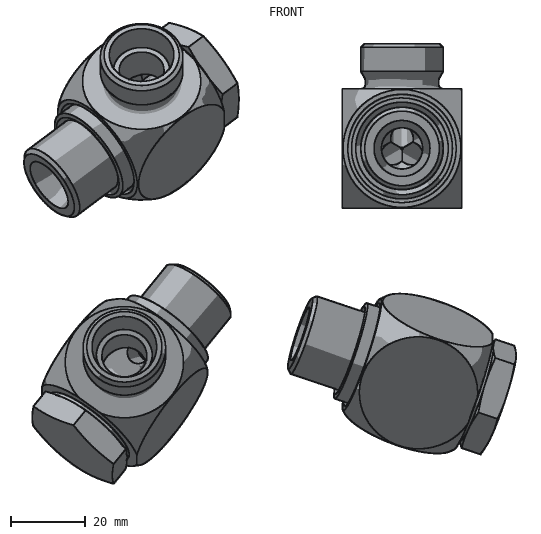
import cadquery as cq
import math

housing_width = 32.0
housing_top_z = housing_width / 2
housing_front_y = -16.05
housing_back_y = 15.35
corner_sphere_diameter = 45.0
bolt_passage_diameter = 23.0
recess_diameter = 29.0
recess_depth = 1.15
recess_fillet = 0.5

port_top_z = 28.0
port_thread_diameter = 22.1
port_thread_length = 7.45
port_end_chamfer = 1.0
neck_diameter = 19.7
neck_fillet = 1.0
neck_cone_angle = 30.0
port_mouth_diameter = 17.3
port_socket_diameter = 15.0
port_socket_depth = 7.0
port_bore_diameter = 12.0

mouth_cone_angle = 12.0

bolt_back_y = 22.95
bolt_front_y = -33.55
head_across_flats = 27.0
head_front_y = 16.45
head_chamfer_angle = 15.0
bolt_thread_diameter = 22.0
bolt_end_chamfer = 1.0
shank_diameter = 22.95
shank_front_y = -14.1
shank_step_chamfer = (shank_diameter - bolt_thread_diameter) / 2

waist_diameter = 15.0
waist_back_y = 10.15
waist_cone_start_y = -0.2
waist_cone_angle = 30.0
waist_fillet = 5.35

bolt_mouth_diameter = 15.0
bolt_bore_diameter = 11.0
bolt_bore_tip_y = -8.3
drill_tip_angle = 118.0
cross_hole_diameter = 6.0
cross_hole_count = 3
cross_hole_start_y = -12.1
cross_hole_tilt = waist_cone_angle

ring_outer_diameter = 27.0
front_ring_bore_diameter = port_thread_diameter
front_ring_face_y = -19.55
front_ring_face_diameter = 24.75
front_ring_bevel_height = 0.35
front_ring_lead_in_depth = 0.8
rear_ring_edge_chamfer = 0.1

selection_margin = 0.05


def tangent(angle):
    return math.tan(math.radians(angle))


def turned_about_y(profile):
    """Revolve a closed outline of (radius, y) points about the bolt axis."""
    return cq.Workplane("XY").polyline(profile).close().revolve(360, (0, 0, 0), (0, 1, 0))


def turned_about_z(profile):
    """Revolve a closed outline of (radius, z) points about the port axis."""
    return cq.Workplane("XZ").polyline(profile).close().revolve(360, (0, 0, 0), (0, 1, 0))


def cylinder_y(diameter, start_y, end_y):
    """Solid cylinder on the bolt axis."""
    radius = diameter / 2
    return turned_about_y([(0, start_y), (radius, start_y), (radius, end_y), (0, end_y)])


def circle_at(x, y, z):
    """Selector for the circular edge whose centre lies at the given point."""
    return cq.selectors.BoxSelector(
        (x - selection_margin, y - selection_margin, z - selection_margin),
        (x + selection_margin, y + selection_margin, z + selection_margin),
    )


def make_block():
    block_depth = housing_back_y - housing_front_y
    block = cq.Workplane("XY").box(housing_width, block_depth, housing_width)
    block = block.translate((0, (housing_back_y + housing_front_y) / 2, 0))
    return block.intersect(cq.Workplane("XY").sphere(corner_sphere_diameter / 2))


def make_port_stub():
    thread_radius = port_thread_diameter / 2
    neck_radius = neck_diameter / 2
    root_radius = neck_radius + neck_fillet
    thread_bottom_z = port_top_z - port_thread_length
    neck_top_z = thread_bottom_z - (thread_radius - neck_radius) / tangent(neck_cone_angle)
    stub = (
        cq.Workplane("XZ")
        .lineTo(root_radius, 0)
        .lineTo(root_radius, housing_top_z)
        .radiusArc((neck_radius, housing_top_z + neck_fillet), neck_fillet)
        .lineTo(neck_radius, neck_top_z)
        .lineTo(thread_radius, thread_bottom_z)
        .lineTo(thread_radius, port_top_z - port_end_chamfer)
        .lineTo(thread_radius - port_end_chamfer, port_top_z)
        .lineTo(0, port_top_z)
        .close()
        .revolve(360, (0, 0, 0), (0, 1, 0))
    )
    return stub.edges(circle_at(0, 0, neck_top_z)).fillet(neck_fillet)


def make_port_passage():
    bore_radius = port_bore_diameter / 2
    socket_radius = port_socket_diameter / 2
    mouth_radius = port_mouth_diameter / 2
    floor_z = port_top_z - port_socket_depth
    cone_bottom_z = port_top_z - (mouth_radius - socket_radius) / tangent(mouth_cone_angle)
    return turned_about_z([
        (0, 0),
        (bore_radius, 0),
        (bore_radius, floor_z),
        (socket_radius, floor_z),
        (socket_radius, cone_bottom_z),
        (mouth_radius, port_top_z),
        (0, port_top_z),
    ])


def make_housing():
    recess = cylinder_y(recess_diameter, housing_front_y, housing_front_y + recess_depth)
    recess = recess.faces(">Y").edges().fillet(recess_fillet)
    bolt_passage = cylinder_y(bolt_passage_diameter, housing_front_y, housing_back_y)
    return make_block().union(make_port_stub()).cut(make_port_passage()).cut(recess).cut(bolt_passage)


def make_bolt_head():
    flat_radius = head_across_flats / 2
    corner_radius = flat_radius / math.cos(math.pi / 6)
    corner_drop = (corner_radius - flat_radius) * tangent(head_chamfer_angle)
    head = (
        cq.Workplane("XZ", origin=(0, bolt_back_y, 0))
        .transformed(rotate=(0, 0, 30))
        .polygon(6, 2 * corner_radius)
        .extrude(bolt_back_y - head_front_y)
    )
    chamfered_blank = turned_about_y([
        (0, head_front_y),
        (flat_radius, head_front_y),
        (corner_radius, head_front_y + corner_drop),
        (corner_radius, bolt_back_y - corner_drop),
        (flat_radius, bolt_back_y),
        (0, bolt_back_y),
    ])
    return head.intersect(chamfered_blank)


def make_bolt_stem():
    shank_radius = shank_diameter / 2
    waist_radius = waist_diameter / 2
    thread_radius = bolt_thread_diameter / 2
    cone_length = (shank_radius - waist_radius) / tangent(waist_cone_angle)
    stem = turned_about_y([
        (0, head_front_y),
        (shank_radius, head_front_y),
        (shank_radius, waist_back_y),
        (waist_radius, waist_back_y),
        (waist_radius, waist_cone_start_y),
        (shank_radius, waist_cone_start_y - cone_length),
        (shank_radius, shank_front_y),
        (thread_radius, shank_front_y - shank_step_chamfer),
        (thread_radius, bolt_front_y + bolt_end_chamfer),
        (thread_radius - bolt_end_chamfer, bolt_front_y),
        (0, bolt_front_y),
    ])
    return stem.edges(circle_at(0, waist_cone_start_y, 0)).fillet(waist_fillet)


def make_bolt_bore():
    bore_radius = bolt_bore_diameter / 2
    mouth_radius = bolt_mouth_diameter / 2
    cone_length = (mouth_radius - bore_radius) / tangent(mouth_cone_angle)
    tip_length = bore_radius / tangent(drill_tip_angle / 2)
    return turned_about_y([
        (0, bolt_front_y),
        (mouth_radius, bolt_front_y),
        (bore_radius, bolt_front_y + cone_length),
        (bore_radius, bolt_bore_tip_y - tip_length),
        (0, bolt_bore_tip_y),
    ])


def make_bolt():
    bolt = make_bolt_head().union(make_bolt_stem()).cut(make_bolt_bore())
    hole = cq.Workplane("XY").circle(cross_hole_diameter / 2).extrude(shank_diameter)
    hole = hole.rotate((0, 0, 0), (1, 0, 0), -cross_hole_tilt).translate((0, cross_hole_start_y, 0))
    for index in range(cross_hole_count):
        bolt = bolt.cut(hole.rotate((0, 0, 0), (0, 1, 0), index * 360 / cross_hole_count))
    return bolt


def make_front_ring():
    """Ring on the recess floor, around the thread and ahead of the wider shank."""
    outer_radius = ring_outer_diameter / 2
    bore_radius = front_ring_bore_diameter / 2
    face_radius = front_ring_face_diameter / 2
    seat_y = housing_front_y + recess_depth
    return turned_about_y([
        (bore_radius, seat_y),
        (outer_radius, seat_y),
        (outer_radius, front_ring_face_y + front_ring_bevel_height),
        (face_radius, front_ring_face_y),
        (bore_radius, front_ring_face_y + front_ring_lead_in_depth),
    ])


def make_rear_ring():
    """Ring clamped between the bolt head and the back of the housing."""
    ring = cylinder_y(ring_outer_diameter, housing_back_y, head_front_y)
    ring = ring.faces("<Y").edges().chamfer(rear_ring_edge_chamfer)
    return ring.cut(cylinder_y(shank_diameter, housing_back_y, head_front_y))


housing = make_housing()
bolt = make_bolt()
front_ring = make_front_ring()
rear_ring = make_rear_ring()

result = cq.Compound.makeCompound([
    housing.val(),
    bolt.val(),
    front_ring.val(),
    rear_ring.val(),
])